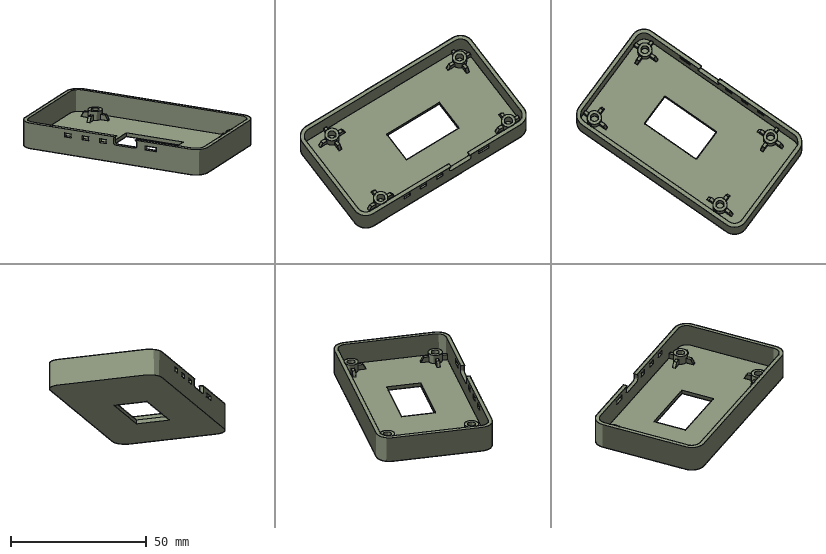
import cadquery as cq

length = 75.5
width = 44.0
height = 10.0
wall = 1.5
floor = 1.5
outer_radius = 5.0
inner_radius = outer_radius - wall

window_length = 23.5
window_width = 12.9
window_x = 4.15
window_y = -0.2

post_diameter = 5.3
post_hole_diameter = 2.95
post_height = 3.5
post_spacing_x = 57.0
post_spacing_y = 31.9
post_pattern_x = 3.1
rib_thickness = 1.2
rib_height = 2.05
rib_top_reach = 4.45
rib_foot_reach = 5.6

slot_height = 1.5
sill_depth = 3.2
sill_z = height - sill_depth
button_slot_width = 2.7
button_slot_pitch = 7.25
first_button_slot_x = -17.7
button_slot_count = 3
wide_slot_width = 4.5
wide_slot_x = 16.6
port_width = 9.6
port_rise = 0.1
port_height = sill_depth + port_rise
port_radius = 1.05
port_x = 6.05


def rounded_block(size_x, size_y, size_z, radius):
    block = cq.Workplane("XY").box(size_x, size_y, size_z, centered=(True, True, False))
    return block.edges("|Z").fillet(radius)


def make_cavity():
    cavity = rounded_block(length - 2 * wall, width - 2 * wall, height, inner_radius)
    return cavity.translate((0, 0, floor))


def make_window():
    window = cq.Workplane("XY").box(window_length, window_width, 2 * floor)
    return window.translate((window_x, window_y, floor / 2))


def make_rib_bar():
    """Two opposite ribs as one bar, with both ends sloping down to the floor."""
    profile = [
        (-rib_foot_reach, 0),
        (rib_foot_reach, 0),
        (rib_top_reach, rib_height),
        (-rib_top_reach, rib_height),
    ]
    return cq.Workplane("XZ").polyline(profile).close().extrude(rib_thickness / 2, both=True)


def make_post():
    post = cq.Workplane("XY").circle(post_diameter / 2).extrude(post_height)
    along_x = make_rib_bar()
    along_y = along_x.rotate((0, 0, 0), (0, 0, 1), 90)
    hole = cq.Workplane("XY").circle(post_hole_diameter / 2).extrude(post_height)
    return post.union(along_x).union(along_y).cut(hole)


def make_front_opening(center_x, opening_width, opening_height):
    """Cutter standing on the sill level that passes through the front wall only."""
    cutter = cq.Workplane("XY").box(opening_width, 2 * wall, opening_height)
    return cutter.translate((center_x, (wall - width) / 2, sill_z + opening_height / 2))


cavity = make_cavity()
result = rounded_block(length, width, height, outer_radius).cut(cavity).cut(make_window())

post_grid = cq.Workplane("XY").center(post_pattern_x, 0)
post_points = post_grid.rarray(post_spacing_x, post_spacing_y, 2, 2).vals()
for point in post_points:
    result = result.union(make_post().translate((point.x, point.y, floor)).intersect(cavity))

for index in range(button_slot_count):
    slot_x = first_button_slot_x + index * button_slot_pitch
    result = result.cut(make_front_opening(slot_x, button_slot_width, slot_height))
result = result.cut(make_front_opening(wide_slot_x, wide_slot_width, slot_height))

port = make_front_opening(port_x, port_width, port_height).edges("|Y").fillet(port_radius)
result = result.cut(port)